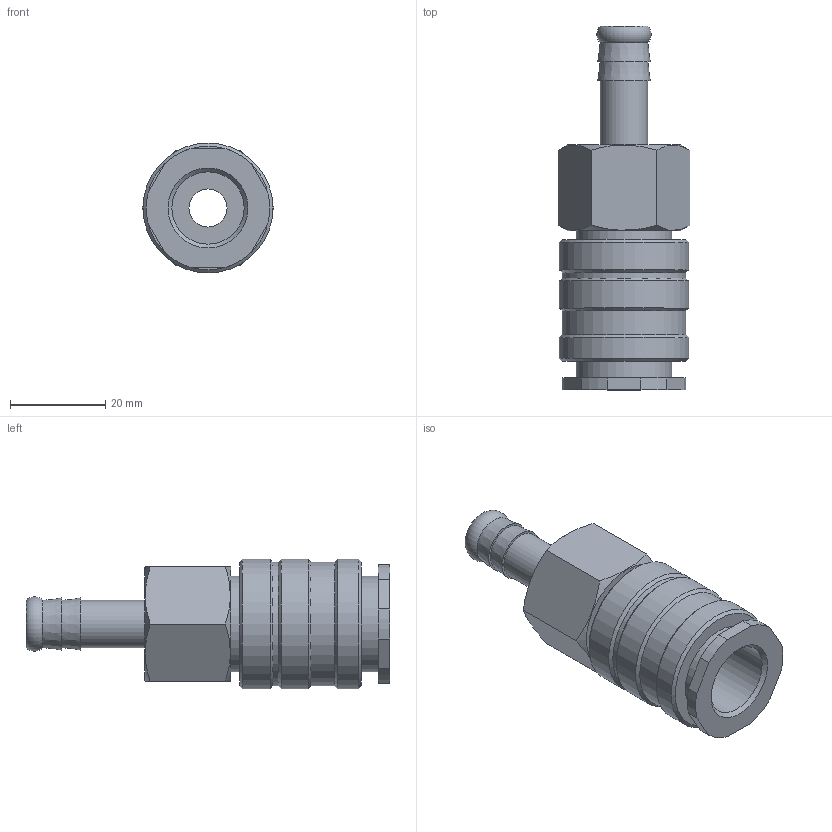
import cadquery as cq
import math

total_length = 76.5

hexagon_sides = 6

flange_radius = 13.0
flange_across_flats = 25.0
flange_thickness = 2.5

body_radius = 10.0

sleeve_radius = 13.65
sleeve_core_radius = 13.0
shoulder_width = 0.6
sleeve_start = 6.0
sleeve_end = 31.6
front_band_end = 11.6
middle_band_start = 16.6
middle_band_end = 23.5
rear_band_start = 24.6
sleeve_bands = [
    (sleeve_start, front_band_end),
    (middle_band_start, middle_band_end),
    (rear_band_start, sleeve_end),
]

nut_across_flats = 24.0
nut_start = 33.5
nut_length = 18.0
nut_end = nut_start + nut_length
nut_face_radius = 11.95
nut_chamfer_angle = 30.0

tube_radius = 5.0
barb_radius = 5.5
barb_length = 4.0
barb_count = 2
bead_radius = 5.7
bead_length = 3.5
bead_start = total_length - bead_length

passage_radius = 4.0
socket_radius = 7.6
socket_depth = 20.0
mouth_chamfer = 0.8


def section_at(start):
    """Sketch plane across the axis at Y = start; its normal is -Y."""
    return cq.Workplane("XZ", origin=(0, start, 0))


def cylinder(radius, start, end):
    """Solid cylinder about the Y axis, from Y = start to Y = end."""
    return section_at(start).circle(radius).extrude(start - end)


def hexagon(across_flats, start, end):
    """Hexagonal prism along Y with two flats facing +Z and -Z."""
    corner_diameter = across_flats / math.cos(math.pi / hexagon_sides)
    return section_at(start).polygon(hexagon_sides, corner_diameter).extrude(start - end)


def revolve_about_y(profile):
    """Solid of revolution from an open outline that starts and ends on the Y axis."""
    return profile.close().revolve(360, (0, 0, 0), (0, 1, 0))


def chamfered_cylinder(outer_radius, end_radius, start, end, chamfer_width):
    """Cylinder about Y that narrows to end_radius at both ends."""
    profile = (
        cq.Workplane("XY")
        .moveTo(0, start)
        .lineTo(end_radius, start)
        .lineTo(outer_radius, start + chamfer_width)
        .lineTo(outer_radius, end - chamfer_width)
        .lineTo(end_radius, end)
        .lineTo(0, end)
    )
    return revolve_about_y(profile)


def make_flange():
    disc = cylinder(flange_radius, 0, flange_thickness)
    return disc.intersect(hexagon(flange_across_flats, 0, flange_thickness))


def make_sleeve():
    sleeve = cylinder(sleeve_core_radius, sleeve_start, sleeve_end)
    for start, end in sleeve_bands:
        band = chamfered_cylinder(sleeve_radius, sleeve_core_radius, start, end, shoulder_width)
        sleeve = sleeve.union(band)
    return sleeve


def make_nut():
    cone_length = nut_length / 3
    slope = math.tan(math.radians(nut_chamfer_angle))
    clear_radius = nut_face_radius + cone_length / slope
    trim = chamfered_cylinder(clear_radius, nut_face_radius, nut_start, nut_end, cone_length)
    return hexagon(nut_across_flats, nut_start, nut_end).intersect(trim)


def make_hose_tail():
    first_barb_start = bead_start - barb_count * barb_length
    profile = cq.Workplane("XY").moveTo(0, nut_end).lineTo(tube_radius, nut_end)
    profile = profile.lineTo(tube_radius, first_barb_start)
    for index in range(barb_count):
        barb_start = first_barb_start + index * barb_length
        profile = profile.lineTo(barb_radius, barb_start)
        profile = profile.lineTo(tube_radius, barb_start + barb_length)
    bead_crest = (bead_radius, bead_start + bead_length / 2)
    profile = profile.threePointArc(bead_crest, (tube_radius, total_length)).lineTo(0, total_length)
    return revolve_about_y(profile)


def make_bore():
    profile = (
        cq.Workplane("XY")
        .moveTo(0, 0)
        .lineTo(socket_radius + mouth_chamfer, 0)
        .lineTo(socket_radius, mouth_chamfer)
        .lineTo(socket_radius, socket_depth)
        .lineTo(passage_radius, socket_depth)
        .lineTo(passage_radius, total_length)
        .lineTo(0, total_length)
    )
    return revolve_about_y(profile)


body = cylinder(body_radius, 0, nut_end)
for section in (make_flange(), make_sleeve(), make_nut(), make_hose_tail()):
    body = body.union(section)

result = body.cut(make_bore())